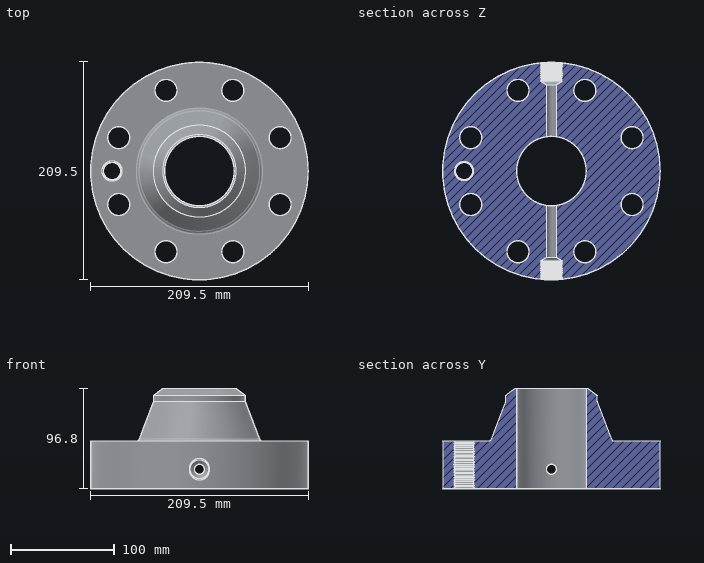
import cadquery as cq
import math

flange_diameter = 209.5
flange_thickness = 46.0

total_height = 96.8
bore_diameter = 66.6
weld_land_diameter = 70.5
weld_end_diameter = 88.6
hub_base_diameter = 117.5
bevel_start_height = 90.0
taper_top_height = 84.0
hub_fillet_radius = 3.0

bolt_circle_diameter = 168.0
bolt_hole_diameter = 21.0
bolt_count = 8

jack_major_diameter = 19.5
jack_minor_diameter = 16.3
jack_pitch = 2.5

tap_height = 18.9
tap_major_diameter = 21.0
tap_minor_diameter = 18.0
tap_pitch = 1.82
tap_turns = 11
tap_tip_angle = 118.0
tap_bleed_diameter = 9.5


def thread_outline(major_diameter, minor_diameter, pitch, turns):
    """Zigzag (radius, depth) points; the first groove is centred on depth 0."""
    points = [(minor_diameter / 2, -pitch / 2)]
    for turn in range(turns):
        points.append((major_diameter / 2, turn * pitch))
        points.append((minor_diameter / 2, (turn + 0.5) * pitch))
    return points


def revolve_cutter(outline):
    """Revolve an open (radius, depth) outline about Z, with depth running toward +Z."""
    start_depth = outline[0][1]
    end_depth = outline[-1][1]
    closed_outline = [(0, start_depth)] + outline + [(0, end_depth)]
    return cq.Workplane("XZ").polyline(closed_outline).close().revolve(360, (0, 0), (0, 1))


def make_body():
    """Flange disc and tapered hub, filleted together, before any holes."""
    disc = cq.Workplane("XY").circle(flange_diameter / 2).extrude(flange_thickness)
    hub_outline = [
        (0, 0),
        (hub_base_diameter / 2, 0),
        (hub_base_diameter / 2, flange_thickness),
        (weld_end_diameter / 2, taper_top_height),
        (weld_end_diameter / 2, bevel_start_height),
        (weld_land_diameter / 2, total_height),
        (0, total_height),
    ]
    hub = cq.Workplane("XZ").polyline(hub_outline).close().revolve(360, (0, 0), (0, 1))
    corner = hub_base_diameter / 2 + hub_fillet_radius
    root_edge = cq.selectors.BoxSelector(
        (-corner, -corner, flange_thickness - hub_fillet_radius),
        (corner, corner, flange_thickness + hub_fillet_radius),
        boundingbox=True,
    )
    return disc.union(hub).edges(root_edge).fillet(hub_fillet_radius)


def make_bolt_holes():
    return (
        cq.Workplane("XY")
        .polarArray(bolt_circle_diameter / 2, 180 / bolt_count, 360, bolt_count)
        .circle(bolt_hole_diameter / 2)
        .extrude(flange_thickness)
    )


def make_jack_hole():
    """Through thread entering from the hub side of the flange."""
    turns = math.ceil(flange_thickness / jack_pitch) + 1
    cutter = revolve_cutter(thread_outline(jack_major_diameter, jack_minor_diameter, jack_pitch, turns))
    return cutter.rotate((0, 0, 0), (1, 0, 0), 180).translate((-bolt_circle_diameter / 2, 0, flange_thickness))


def make_pressure_tap():
    """Threaded hole at -Y with a conical end and a small hole on into the bore."""
    thread = thread_outline(tap_major_diameter, tap_minor_diameter, tap_pitch, tap_turns)
    thread_depth = thread[-1][1]
    bleed_radius = tap_bleed_diameter / 2
    cone_length = (tap_minor_diameter / 2 - bleed_radius) / math.tan(math.radians(tap_tip_angle / 2))
    bleed = [(bleed_radius, thread_depth + cone_length), (bleed_radius, flange_diameter / 2)]
    cutter = revolve_cutter(thread + bleed)
    return cutter.rotate((0, 0, 0), (1, 0, 0), -90).translate((0, -flange_diameter / 2, tap_height))


bore = cq.Workplane("XY").circle(bore_diameter / 2).extrude(total_height)
pressure_tap = make_pressure_tap()

result = (
    make_body()
    .cut(bore)
    .cut(make_bolt_holes())
    .cut(make_jack_hole())
    .cut(pressure_tap)
    .cut(pressure_tap.mirror("XZ"))
)